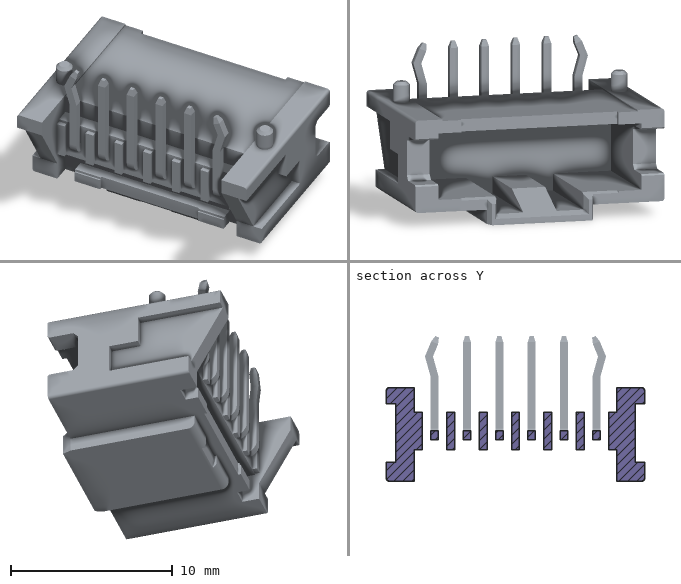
import cadquery as cq
import math


HALF_WIDTH = 8
CHEEK_THICKNESS = 1.75
CHEEK_INNER = HALF_WIDTH - CHEEK_THICKNESS
CHEEK_TOP = 5.8
CHEEK_LENGTH_TOP = 11.2
CHEEK_LENGTH_BOTTOM = 9.15
SLOPE_BOTTOM = 1.18
SLOPE_TOP = 4.8
EDGE_ROUND = 0.2
NOTCH_BOTTOM = 1.75
NOTCH_TOP = 4.55
NOTCH_DEPTH = 1.97
NOTCH_CORNER = 0.3
NOTCH_MOUTH = 0.1

POCKET_DEPTH = 0.58
POCKET_STEP_Z = 3.04
POCKET_START_LOW = 4
POCKET_START_HIGH = 5.85

BODY_TOP = 5.71
BODY_LENGTH = 8.06
BLOCK_LENGTH = 8.88
BLOCK_BOTTOM = 1.87
BLOCK_TOP = 4.48

CAVITY_HALF_WIDTH = 6.53
CAVITY_FLOOR = 0.77
CAVITY_CEILING = BODY_TOP - CAVITY_FLOOR
CAVITY_DEPTH = 7.04
ROOF_NOTCH_HALF_WIDTH = 5.04
ROOF_NOTCH_DEPTH = 0.29
LEAD_IN_SLOPE = 0.4

PLATE_HALF_WIDTH = 5.2
PLATE_TOP = 0.86
PLATE_LENGTH = 8.7
PAD_LENGTH = BLOCK_LENGTH
PAD_TOP = 0.7
PAD_LEDGE = 0.1

RAIL_HALF_WIDTH = 3.4
RAIL_BOTTOM = -0.9
RAIL_ROUND = 0.42
RAIL_WALL = 0.6
LIP_LENGTH = 0.55
LIP_TAPER = 0.2
LIP_TOP = CAVITY_FLOOR - LEAD_IN_SLOPE * ROOF_NOTCH_DEPTH
KEYWAY_HALF_WIDTH = RAIL_HALF_WIDTH - RAIL_WALL
KEYWAY_FLOOR = RAIL_BOTTOM + RAIL_WALL
KEY_RIB_HALF_WIDTH = 1.07
RELIEF_DEPTH = 0.16
RELIEF_BEVEL_Z = -0.43
RELIEF_BEVEL_RUN = 0.11

POST_RADIUS = 0.51
POST_X = 7.0
POST_Y = -6.78
POST_TOP = 7.09
POST_BEVEL_HEIGHT = 0.2
POST_TIP_RADIUS = 0.32

PITCH = 2.0
PIN_COUNT = 6
PIN_SIZE = 0.5
PIN_FRONT = 9.47
PIN_BOTTOM = 2.53
PIN_BEND_RADIUS = 0.77
PIN_ROOT = 7.68
PIN_TOP = 9.0
TIP_LENGTH = 0.4
TIP_SIZE = 0.24
KINK_START = 6.46
KINK_Z = 7.73
KINK_OFFSET = 0.35
KINK_END = 8.58
RIB_WIDTH = 0.51
RIB_BOTTOM = 1.95
RIB_TOP = 4.3
RIB_LENGTH = 9.18


def block(x_min, x_max, y_min, y_max, z_min, z_max):
    size = (x_max - x_min, y_max - y_min, z_max - z_min)
    return cq.Workplane("XY").box(*size, centered=False).translate((x_min, y_min, z_min))


def centred_block(half_width, y_min, y_max, z_min, z_max):
    return block(-half_width, half_width, y_min, y_max, z_min, z_max)


def side_profile(points, x_min, x_max):
    """Extrude a closed outline of (y, z) points from x_min to x_max."""
    outline = cq.Workplane("YZ").workplane(offset=x_min).polyline(points).close()
    return outline.extrude(x_max - x_min)


def both_sides(shape):
    return shape.union(shape.mirror("YZ"))


def cheek():
    """Cheek on the +X side, with its stepped outer pocket."""
    outline = [
        (0, 0),
        (0, NOTCH_BOTTOM - NOTCH_MOUTH),
        (-NOTCH_MOUTH, NOTCH_BOTTOM),
        (NOTCH_CORNER - NOTCH_DEPTH, NOTCH_BOTTOM),
        (-NOTCH_DEPTH, NOTCH_BOTTOM + NOTCH_CORNER),
        (-NOTCH_DEPTH, NOTCH_TOP - NOTCH_CORNER),
        (NOTCH_CORNER - NOTCH_DEPTH, NOTCH_TOP),
        (-NOTCH_MOUTH, NOTCH_TOP),
        (0, NOTCH_TOP + NOTCH_MOUTH),
        (0, CHEEK_TOP),
        (-CHEEK_LENGTH_TOP, CHEEK_TOP),
        (-CHEEK_LENGTH_TOP, SLOPE_TOP),
        (-CHEEK_LENGTH_BOTTOM, SLOPE_BOTTOM),
        (-CHEEK_LENGTH_BOTTOM, 0),
    ]
    shape = side_profile(outline, CHEEK_INNER, HALF_WIDTH)
    shape = shape.edges("|Y").edges(">X").edges("<Z or >Z").fillet(EDGE_ROUND)
    pocket = side_profile(
        [
            (-POCKET_START_LOW, SLOPE_BOTTOM),
            (-POCKET_START_LOW, POCKET_STEP_Z),
            (-POCKET_START_HIGH, POCKET_STEP_Z),
            (-POCKET_START_HIGH, SLOPE_TOP),
            (-CHEEK_LENGTH_TOP, SLOPE_TOP),
            (-CHEEK_LENGTH_TOP, SLOPE_BOTTOM),
        ],
        HALF_WIDTH - POCKET_DEPTH,
        HALF_WIDTH,
    )
    return shape.cut(pocket)


def housing():
    """Solid block between the cheeks, with the pin block standing out of it."""
    body = centred_block(CHEEK_INNER, -BODY_LENGTH, 0, 0, BODY_TOP)
    pin_block = centred_block(CHEEK_INNER, -BLOCK_LENGTH, -CAVITY_DEPTH, BLOCK_BOTTOM, BLOCK_TOP)
    return body.union(pin_block)


def foot_plate():
    """Low plate with a pad at each end, stepped back by a narrow ledge near its top."""
    plate = centred_block(PLATE_HALF_WIDTH, -PLATE_LENGTH, -CAVITY_DEPTH, 0, PLATE_TOP)
    pad = block(RAIL_HALF_WIDTH, PLATE_HALF_WIDTH, -PAD_LENGTH, -CAVITY_DEPTH, 0, PAD_TOP)
    upper_pad = block(
        RAIL_HALF_WIDTH, PLATE_HALF_WIDTH, PAD_LEDGE - PAD_LENGTH, -CAVITY_DEPTH, 0, PLATE_TOP
    )
    return plate.union(both_sides(pad.union(upper_pad)))


def key_rail():
    """Rail under the housing, with a tapered lip beyond the mating face."""
    rail = centred_block(RAIL_HALF_WIDTH, -BODY_LENGTH, 0, RAIL_BOTTOM, CAVITY_FLOOR)
    rail = rail.edges("|X").edges("<Y").edges("<Z").fillet(RAIL_ROUND)
    relief = side_profile(
        [
            (-BODY_LENGTH, 0),
            (RELIEF_DEPTH - BODY_LENGTH, 0),
            (RELIEF_DEPTH - BODY_LENGTH, RELIEF_BEVEL_Z),
            (RELIEF_DEPTH + RELIEF_BEVEL_RUN - BODY_LENGTH, RAIL_BOTTOM),
            (-BODY_LENGTH, RAIL_BOTTOM),
        ],
        -KEY_RIB_HALF_WIDTH,
        KEY_RIB_HALF_WIDTH,
    )
    lip = side_profile(
        [
            (0, RAIL_BOTTOM),
            (0, LIP_TOP),
            (LIP_LENGTH, LIP_TOP - LEAD_IN_SLOPE * LIP_LENGTH),
            (LIP_LENGTH, RAIL_BOTTOM),
        ],
        -RAIL_HALF_WIDTH,
        RAIL_HALF_WIDTH,
    )
    return rail.cut(relief).union(lip.intersect(lip_plan(RAIL_HALF_WIDTH, -LIP_TAPER)))


def lip_plan(half_width, flare):
    """Prism over the lip whose half width changes by flare from Y = 0 to the lip's end."""
    return (
        cq.Workplane("XY", origin=(0, 0, RAIL_BOTTOM))
        .polyline([
            (-half_width, 0),
            (half_width, 0),
            (half_width + flare, LIP_LENGTH),
            (-half_width - flare, LIP_LENGTH),
        ])
        .close()
        .extrude(CAVITY_CEILING - RAIL_BOTTOM)
    )


def mating_cavity():
    """Room removed from the housing: cavity, roof notch, lead-in and keyway."""
    cavity = centred_block(CAVITY_HALF_WIDTH, -CAVITY_DEPTH, 0, CAVITY_FLOOR, CAVITY_CEILING)
    roof_notch = centred_block(
        ROOF_NOTCH_HALF_WIDTH, -ROOF_NOTCH_DEPTH, 0, CAVITY_FLOOR, BODY_TOP
    )
    floor_lead_in = side_profile(
        [(-ROOF_NOTCH_DEPTH, CAVITY_FLOOR), (0, CAVITY_FLOOR), (0, LIP_TOP)],
        -ROOF_NOTCH_HALF_WIDTH,
        ROOF_NOTCH_HALF_WIDTH,
    )
    keyway_side = block(
        KEY_RIB_HALF_WIDTH, KEYWAY_HALF_WIDTH, -CAVITY_DEPTH, 0, KEYWAY_FLOOR, CAVITY_FLOOR
    )
    ramp_length = (CAVITY_FLOOR - KEYWAY_FLOOR) / LEAD_IN_SLOPE
    rib_ramp = side_profile(
        [(-ramp_length, CAVITY_FLOOR), (0, CAVITY_FLOOR), (0, KEYWAY_FLOOR)],
        -KEYWAY_HALF_WIDTH,
        KEYWAY_HALF_WIDTH,
    )
    lip_ramp = side_profile(
        [
            (0, CAVITY_FLOOR),
            (LIP_LENGTH, CAVITY_FLOOR),
            (LIP_LENGTH, KEYWAY_FLOOR - LEAD_IN_SLOPE * LIP_LENGTH),
            (0, KEYWAY_FLOOR),
        ],
        -RAIL_HALF_WIDTH,
        RAIL_HALF_WIDTH,
    ).intersect(lip_plan(KEYWAY_HALF_WIDTH, LIP_TAPER))
    room = cavity.union(roof_notch).union(floor_lead_in)
    return room.union(both_sides(keyway_side)).union(rib_ramp).union(lip_ramp)


def post():
    return (
        cq.Workplane("XZ", origin=(POST_X, POST_Y, 0))
        .polyline([
            (0, CAVITY_CEILING),
            (POST_RADIUS, CAVITY_CEILING),
            (POST_RADIUS, POST_TOP - POST_BEVEL_HEIGHT),
            (POST_TIP_RADIUS, POST_TOP),
            (0, POST_TOP),
        ])
        .close()
        .revolve(360, (0, 0, 0), (0, 1, 0))
    )


def pin_elbow(x, top):
    """Leg out of the pin block, rounded bend and upright shank up to the given height."""
    inner_radius = PIN_BEND_RADIUS - PIN_SIZE
    leg_top = PIN_BOTTOM + PIN_SIZE
    shank_back = PIN_SIZE - PIN_FRONT
    bend_y = PIN_BEND_RADIUS - PIN_FRONT
    bend_z = PIN_BOTTOM + PIN_BEND_RADIUS
    diagonal = math.sqrt(0.5)
    outer_mid = (bend_y - PIN_BEND_RADIUS * diagonal, bend_z - PIN_BEND_RADIUS * diagonal)
    inner_mid = (bend_y - inner_radius * diagonal, bend_z - inner_radius * diagonal)
    return (
        cq.Workplane("YZ", origin=(x - PIN_SIZE / 2, 0, 0))
        .moveTo(-PIN_ROOT, PIN_BOTTOM)
        .lineTo(bend_y, PIN_BOTTOM)
        .threePointArc(outer_mid, (-PIN_FRONT, bend_z))
        .lineTo(-PIN_FRONT, top)
        .lineTo(shank_back, top)
        .lineTo(shank_back, bend_z)
        .threePointArc(inner_mid, (bend_y, leg_top))
        .lineTo(-PIN_ROOT, leg_top)
        .close()
        .extrude(PIN_SIZE)
    )


def pin_tip(base, direction, width):
    """Tapered tip standing on a base of the given width along X."""
    plane = cq.Plane(origin=base, xDir=(direction[2], 0, -direction[0]), normal=direction)
    return (
        cq.Workplane(plane)
        .rect(width, PIN_SIZE)
        .workplane(offset=TIP_LENGTH)
        .rect(TIP_SIZE, TIP_SIZE)
        .loft(combine=True)
    )


def straight_pin(x):
    shank_top = PIN_TOP - TIP_LENGTH
    base = (x, PIN_SIZE / 2 - PIN_FRONT, shank_top)
    return pin_elbow(x, shank_top).union(pin_tip(base, (0, 0, 1), PIN_SIZE))


def kinked_pin(x):
    """Pin on the +X side whose upper shank swings outwards and back again."""
    half = PIN_SIZE / 2
    lean = math.atan2(KINK_OFFSET, KINK_END - KINK_Z)
    leaning_width = PIN_SIZE * math.cos(lean)
    end_x = leaning_width / 2 * math.cos(lean)
    end_z = leaning_width / 2 * math.sin(lean)
    shank = (
        cq.Workplane("XZ", origin=(x, PIN_SIZE - PIN_FRONT, 0))
        .polyline([
            (-half, KINK_START),
            (KINK_OFFSET - half, KINK_Z),
            (-end_x, KINK_END - end_z),
            (end_x, KINK_END + end_z),
            (KINK_OFFSET + half, KINK_Z),
            (half, KINK_START),
        ])
        .close()
        .extrude(PIN_SIZE)
    )
    base = (x, half - PIN_FRONT, KINK_END)
    tip = pin_tip(base, (-math.sin(lean), 0, math.cos(lean)), leaning_width)
    return pin_elbow(x, KINK_START).union(shank).union(tip)


def ribs():
    """Upright ribs midway between the pins, the outermost ones ending at the cheeks."""
    shape = cq.Workplane("XY")
    for index in range(PIN_COUNT + 1):
        x = (index - PIN_COUNT / 2) * PITCH
        left = max(x - RIB_WIDTH / 2, -CHEEK_INNER)
        right = min(x + RIB_WIDTH / 2, CHEEK_INNER)
        shape = shape.union(block(left, right, -RIB_LENGTH, -BODY_LENGTH, RIB_BOTTOM, RIB_TOP))
    return shape


result = housing().union(both_sides(cheek())).union(key_rail()).cut(mating_cavity())
result = result.union(foot_plate()).union(both_sides(post())).union(ribs())

outer_pin_x = (PIN_COUNT - 1) / 2 * PITCH
for inner_index in range(1, PIN_COUNT - 1):
    result = result.union(straight_pin(inner_index * PITCH - outer_pin_x))
result = result.union(both_sides(kinked_pin(outer_pin_x)))